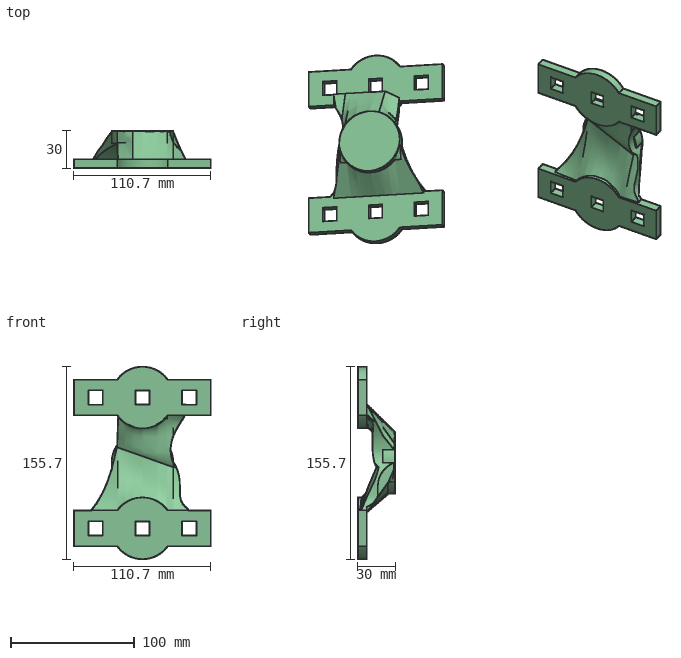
import cadquery as cq
import math

BAR_LENGTH = 110.7
BAR_HEIGHT = 29.0
FLANGE_THICKNESS = 7.25
DISC_RADIUS = 25.0
TOTAL_HEIGHT = 155.73
FLANGE_Z = TOTAL_HEIGHT / 2 - DISC_RADIUS
CENTRE_HOLE = 11.1
SIDE_HOLE = 11.5
SIDE_HOLE_X = 37.85

TOTAL_DEPTH = 30.0
PAD_THICKNESS = 10.0

WEB_TOP_Z = 47.4
WEB_BOTTOM_Z = -39.8
WEB_SHOULDER_Y = 24.6
MIN_SHOULDER_DROP = 15.5
MIN_RIM_HEIGHT = 3.0
LIMIT_MARGIN = 5.0
EMBED = 1.5
LOWER_LANDING_Y = 1.0
BAR_EDGE_Z = FLANGE_Z - BAR_HEIGHT / 2

FRONT_STATIONS = [-43.0, -20.0, 25.0, 43.0]
UPPER_FRONT = [(13.0, 23.0), (13.0, 23.0), (11.7, 24.0), (18.0, 24.0)]
UPPER_SHOULDER = [(17.0, 17.0), (17.0, 17.0), (11.4, 12.0), (18.0, 12.0)]
VALLEY = [(22.0, 12.5), (19.6, 12.5), (15.2, -3.5), (27.0, -3.5)]
LOWER_FRONT = [(17.5, -21.0), (10.5, -21.0), (7.6, -21.0), (17.0, -21.0)]
SECTION_X = [-43.0, -25.0, -20.0, -14.0, -8.0, 0.0, 12.0, 20.0, 25.0, 43.0]

THIN_X = -20.0
FULL_X = -8.0
THIN_TOP_Z = 41.0
KNEE_Y = 20.3
THIN_KNEE_Z = 19.0

LEFT_UPPER_EDGE = [(-19.7, 38.2), (-20.6, 12.7)]
LEFT_LOWER_EDGE = [(-25.0, -5.0), (-30.1, -19.4), (-37.2, -32.5), (-41.2, -37.8)]
RIGHT_UPPER_EDGE = [(34.7, 38.2), (25.7, 23.4), (22.6, 11.0), (24.6, 0.8)]
RIGHT_LOWER_EDGE = [(24.6, 0.8), (28.8, -7.5), (30.3, -17.0), (33.0, -33.7), (37.0, -37.8)]

LEFT_TAPER = [(-39.8, FLANGE_THICKNESS), (-33.8, 17.5), (-27.0, 28.0)]
RIGHT_TAPER = [(34.7, FLANGE_THICKNESS), (30.4, 16.0), (25.0, 29.0)]


def front_plane(y):
    """Workplane at depth y whose extrusions run towards +Y when negative; local axes are X and Z."""
    return cq.Workplane(cq.Plane(origin=(0, y, 0), xDir=(1, 0, 0), normal=(0, -1, 0)))


def flange(z):
    disc = front_plane(0).center(0, z).circle(DISC_RADIUS).extrude(-FLANGE_THICKNESS)
    bar = front_plane(0).center(0, z).rect(BAR_LENGTH, BAR_HEIGHT).extrude(-FLANGE_THICKNESS)
    body = disc.union(bar)
    for x, size in [(-SIDE_HOLE_X, SIDE_HOLE), (0, CENTRE_HOLE), (SIDE_HOLE_X, SIDE_HOLE)]:
        hole = front_plane(0).center(x, z).rect(size, size).extrude(-FLANGE_THICKNESS)
        body = body.cut(hole)
    return body


def pad():
    return front_plane(TOTAL_DEPTH - PAD_THICKNESS).circle(DISC_RADIUS).extrude(-PAD_THICKNESS)


def disc_half_height(x):
    return math.sqrt(max(0.0, DISC_RADIUS**2 - x**2))


def front_point(points, x):
    """(Y, Z) point at station x, interpolated between the two stations beside it."""
    spans = zip(FRONT_STATIONS, FRONT_STATIONS[1:], points, points[1:])
    for left_x, right_x, left, right in spans:
        if x <= right_x:
            blend = (x - left_x) / (right_x - left_x)
            return tuple(p + blend * (q - p) for p, q in zip(left, right))
    raise ValueError("station beyond the web")


def upper_back(x, rim_z):
    """(Y, Z) points of the upper back slope at station x, from the rear edge to the flange."""
    fullness = min(1.0, max(0.0, (x - THIN_X) / (FULL_X - THIN_X)))
    slope_fraction = (KNEE_Y - FLANGE_THICKNESS) / (TOTAL_DEPTH - FLANGE_THICKNESS)
    full_knee_z = WEB_TOP_Z + slope_fraction * (rim_z - WEB_TOP_Z)
    knee_z = THIN_KNEE_Z + fullness * (full_knee_z - THIN_KNEE_Z)
    top_z = THIN_TOP_Z + fullness * (WEB_TOP_Z - THIN_TOP_Z)
    return [(KNEE_Y, knee_z), (FLANGE_THICKNESS, top_z), (FLANGE_THICKNESS - EMBED, top_z)]


def web_section(x):
    """Closed YZ outline of the web at station x: curved front, straight-sided back."""
    upper_front = front_point(UPPER_FRONT, x)
    upper_shoulder = front_point(UPPER_SHOULDER, x)
    valley = front_point(VALLEY, x)
    lower_front = front_point(LOWER_FRONT, x)

    landing_z = min(BAR_EDGE_Z, FLANGE_Z - disc_half_height(x))
    top_landing = (FLANGE_THICKNESS - EMBED, landing_z + EMBED)
    bottom_landing = (LOWER_LANDING_Y, -landing_z - EMBED)
    rim_z = max(MIN_RIM_HEIGHT, disc_half_height(x))
    shoulder_z = max(MIN_SHOULDER_DROP, disc_half_height(x))
    return (
        cq.Workplane("YZ", origin=(x, 0, 0))
        .moveTo(*top_landing)
        .spline([upper_front, upper_shoulder, valley], includeCurrent=True)
        .spline([lower_front, bottom_landing], includeCurrent=True)
        .lineTo(FLANGE_THICKNESS - EMBED, WEB_BOTTOM_Z)
        .lineTo(FLANGE_THICKNESS, WEB_BOTTOM_Z)
        .lineTo(WEB_SHOULDER_Y, -shoulder_z)
        .lineTo(TOTAL_DEPTH, -rim_z)
        .polyline([(TOTAL_DEPTH, rim_z)] + upper_back(x, rim_z), includeCurrent=True)
        .close()
        .val()
    )


def web_side_limits():
    """Prism along Y that gives the web its waisted side edges."""
    return (
        front_plane(-LIMIT_MARGIN)
        .moveTo(LEFT_UPPER_EDGE[0][0], WEB_TOP_Z + LIMIT_MARGIN)
        .lineTo(*LEFT_UPPER_EDGE[0])
        .lineTo(*LEFT_UPPER_EDGE[1])
        .spline(LEFT_LOWER_EDGE, includeCurrent=True)
        .lineTo(LEFT_LOWER_EDGE[-1][0], WEB_BOTTOM_Z - LIMIT_MARGIN)
        .lineTo(RIGHT_LOWER_EDGE[-1][0], WEB_BOTTOM_Z - LIMIT_MARGIN)
        .spline(RIGHT_LOWER_EDGE[::-1], includeCurrent=True)
        .spline(RIGHT_UPPER_EDGE[-2::-1], includeCurrent=True)
        .lineTo(RIGHT_UPPER_EDGE[0][0], WEB_TOP_Z + LIMIT_MARGIN)
        .close()
        .extrude(-TOTAL_DEPTH - 2 * LIMIT_MARGIN)
    )


def web_taper_limits():
    """Prism along Z that narrows the web from the flanges towards the pad."""
    half_length = BAR_LENGTH / 2
    return (
        cq.Workplane("XY", origin=(0, 0, -TOTAL_HEIGHT / 2))
        .moveTo(-half_length, -LIMIT_MARGIN)
        .lineTo(-half_length, FLANGE_THICKNESS)
        .lineTo(*LEFT_TAPER[0])
        .spline(LEFT_TAPER[1:], includeCurrent=True)
        .lineTo(LEFT_TAPER[-1][0], TOTAL_DEPTH + LIMIT_MARGIN)
        .lineTo(RIGHT_TAPER[-1][0], TOTAL_DEPTH + LIMIT_MARGIN)
        .lineTo(*RIGHT_TAPER[-1])
        .spline(RIGHT_TAPER[-2::-1], includeCurrent=True)
        .lineTo(half_length, FLANGE_THICKNESS)
        .lineTo(half_length, -LIMIT_MARGIN)
        .close()
        .extrude(TOTAL_HEIGHT)
    )


def web():
    sections = [web_section(x) for x in SECTION_X]
    body = cq.Workplane(cq.Solid.makeLoft(sections, True))
    return body.intersect(web_side_limits()).intersect(web_taper_limits())


result = web().union(pad()).union(flange(FLANGE_Z)).union(flange(-FLANGE_Z))